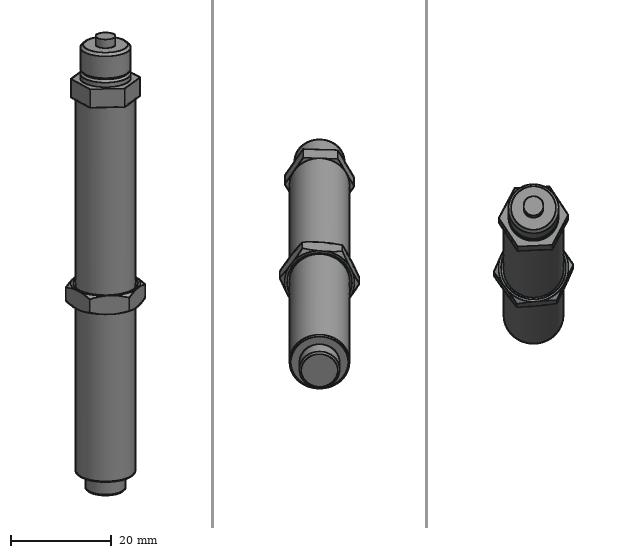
import cadquery as cq
import math

total_length = 96.5
shoulder_z = 3.7
hex_bottom_z = 83.6
hex_top_z = 87.5
head_top_z = 94.7

barrel_diameter = 12.0
barrel_chamfer = 0.3
tail_diameter = 8.0
tail_chamfer = 0.4
head_diameter = 10.0
head_chamfer = 0.6
groove_center_z = 89.0
groove_depth = 0.5
hex_across_flats = barrel_diameter

nut_bottom_z = 39.9
nut_height = 4.0
nut_across_flats = 13.8
nut_angle = 2.8
nut_face_diameter = 13.9
nut_bore_chamfer = 0.5
nut_chamfer_angle = 30.0

pin_diameter = 4.0
pin_seat_depth = 4.8
pin_bottom_z = head_top_z - pin_seat_depth


def cylinder(diameter, bottom_z, top_z):
    return cq.Workplane("XY").workplane(offset=bottom_z).circle(diameter / 2).extrude(top_z - bottom_z)


def hex_prism(across_flats, bottom_z, top_z):
    """Hexagonal prism with corners on the X axis and flats facing +Y and -Y."""
    across_corners = across_flats / math.cos(math.pi / 6)
    return cq.Workplane("XY").workplane(offset=bottom_z).polygon(6, across_corners).extrude(top_z - bottom_z)


def revolve_about_z(profile):
    """Revolve a closed outline of (radius, z) points about the Z axis."""
    return cq.Workplane("XZ").polyline(profile).close().revolve(360, (0, 0, 0), (0, 1, 0))


def make_head():
    """Round head with a chamfered top and a V groove just above the hexagon."""
    head = cylinder(head_diameter, hex_top_z, head_top_z).faces(">Z").chamfer(head_chamfer)
    radius = head_diameter / 2
    groove = revolve_about_z([
        (radius, groove_center_z - groove_depth),
        (radius - groove_depth, groove_center_z),
        (radius, groove_center_z + groove_depth),
    ])
    return head.cut(groove)


def make_housing():
    tail = cylinder(tail_diameter, 0, shoulder_z).faces("<Z").chamfer(tail_chamfer)
    barrel = cylinder(barrel_diameter, shoulder_z, hex_bottom_z).faces("<Z").chamfer(barrel_chamfer)
    hexagon = hex_prism(hex_across_flats, hex_bottom_z, hex_top_z)
    pin_seat = cylinder(pin_diameter, pin_bottom_z, head_top_z)
    return tail.union(barrel).union(hexagon).union(make_head()).cut(pin_seat)


def make_nut():
    """Hexagonal nut around the barrel, its corners and bore bevelled at both ends."""
    top_z = nut_bottom_z + nut_height
    face_radius = nut_face_diameter / 2
    outer_radius = nut_across_flats
    bevel_drop = (outer_radius - face_radius) * math.tan(math.radians(nut_chamfer_angle))
    nut = hex_prism(nut_across_flats, nut_bottom_z, top_z)
    nut = nut.rotate((0, 0, 0), (0, 0, 1), nut_angle)
    nut = nut.cut(cylinder(barrel_diameter, nut_bottom_z, top_z))
    bore_radius = barrel_diameter / 2
    for end_z, inward in ((nut_bottom_z, 1), (top_z, -1)):
        bevel = revolve_about_z([
            (face_radius, end_z),
            (outer_radius, end_z),
            (outer_radius, end_z + inward * bevel_drop),
        ])
        countersink = revolve_about_z([
            (0, end_z),
            (bore_radius + nut_bore_chamfer, end_z),
            (bore_radius, end_z + inward * nut_bore_chamfer),
            (0, end_z + inward * nut_bore_chamfer),
        ])
        nut = nut.cut(bevel).cut(countersink)
    return nut


def make_pin():
    return cylinder(pin_diameter, pin_bottom_z, total_length)


housing = make_housing()
nut = make_nut()
pin = make_pin()

result = cq.Compound.makeCompound([housing.val(), nut.val(), pin.val()])